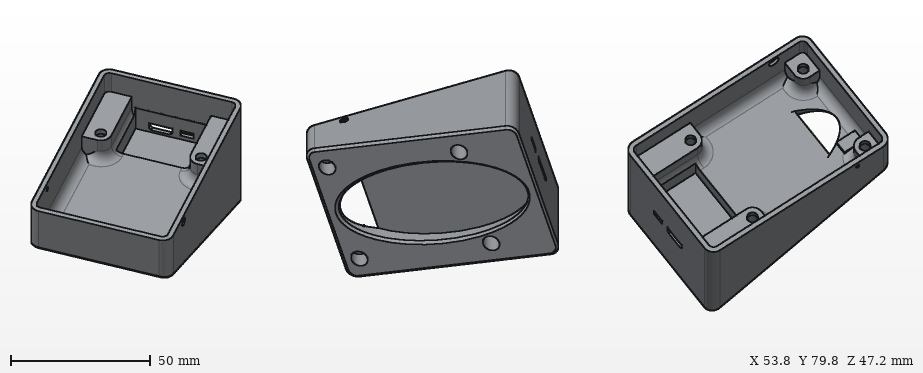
import cadquery as cq
import math


length = 79.75
width = 53.75
height = 47.2
slope_angle = 20.0
corner_radius = 4.0
wall = 2.0
bottom_chamfer = 1.0

floor_depth = 18.0
floor_fillet = 4.0
ledge_depth = 9.0

screw_x = 19.1
rear_screw_y = 16.0
front_screw_y = -33.5
boss_radius = 4.0
screw_diameter = 4.0
screw_head_diameter = 6.0
screw_seat_thickness = 2.2

recess_width = 31.75
recess_length = 75.0
recess_depth = 6.0
recess_chamfer = 1.0

pocket_half_width = 13.8
pocket_front_y = 17.6
pocket_depth = 24.5
pocket_wall = 1.5

window_top = 20.3
small_window_x = (3.3, 8.3)
small_window_height = 2.3
large_window_x = (-8.8, 0.15)
large_window_height = 3.1
large_window_bevel = 0.9

pad_x = (-13.55, -8.5)
pad_rear_y = -28.4
pad_height = 1.0

side_hole_y = -24.7
side_hole_depth = 2.95
pin_hole_diameter = 1.4
stepped_hole_diameter = 3.1
stepped_bore_diameter = 4.2
stepped_bore_depth = 1.3

inner_x = width / 2 - wall
inner_y = length / 2 - wall
tilt = math.radians(slope_angle)
slope = math.tan(tilt)
rear_height = height + bottom_chamfer * math.sin(tilt)
front_height = rear_height - length * slope
mid_height = (front_height + rear_height) / 2


def block(x_range, y_range, z_range):
    """Axis-aligned box between the given limits."""
    size = [high - low for low, high in (x_range, y_range, z_range)]
    corner = cq.Vector(x_range[0], y_range[0], z_range[0])
    return cq.Workplane(cq.Solid.makeBox(*size, corner))


def make_shell():
    """Solid wedge with rounded vertical corners and a chamfered bottom edge."""
    profile = [
        (-length / 2, 0),
        (length / 2, 0),
        (length / 2, -rear_height),
        (-length / 2, -front_height),
    ]
    wedge = cq.Workplane("YZ").polyline(profile).close().extrude(width / 2, both=True)
    wedge = wedge.edges("|Z").fillet(corner_radius)
    return wedge.faces("<Z").chamfer(bottom_chamfer)


def make_cavity():
    """Space inside the box: a full opening above the ledges, a narrower filleted one below."""
    upper = (
        cq.Workplane("XY")
        .rect(2 * inner_x, 2 * inner_y)
        .extrude(-ledge_depth)
        .edges("|Z")
        .fillet(corner_radius - wall)
    )
    lower = (
        cq.Workplane("XY")
        .rect(2 * inner_x, 2 * inner_y)
        .extrude(-floor_depth)
        .faces("<Z")
        .edges()
        .fillet(floor_fillet)
    )
    for side in (-1, 1):
        lower = lower.cut(make_rail_foot(side))
        for end, screw_y in ((1, rear_screw_y), (-1, front_screw_y)):
            lower = lower.cut(make_ledge(side, end, screw_y))
            lower = lower.cut(make_boss_foot(side, screw_y))
    pad = block(pad_x, (-length / 2, pad_rear_y), (-floor_depth, pad_height - floor_depth))
    return upper.union(lower.cut(pad))


def make_ledge(side, end, screw_y):
    """Corner block from a screw centre out to the walls, rounded about the screw."""
    x_limits = sorted((side * (screw_x - boss_radius), side * width / 2))
    y_limits = sorted((screw_y - end * boss_radius, end * length / 2))
    ledge = block(x_limits, y_limits, (-floor_depth, 0))
    inner_edge = ("<X" if side > 0 else ">X", "<Y" if end > 0 else ">Y")
    return ledge.faces(inner_edge[0]).edges("|Z").edges(inner_edge[1]).fillet(boss_radius)


def draw_foot(plane, side=1):
    """Half section of a boss flaring out to the floor, measured from the screw centre."""
    arc_dip = floor_fillet * (1 - math.sqrt(0.5))
    return (
        plane.lineTo(side * (boss_radius + floor_fillet), 0)
        .threePointArc((side * (boss_radius + arc_dip), arc_dip), (side * boss_radius, floor_fillet))
        .lineTo(0, floor_fillet)
        .close()
    )


def make_boss_foot(side, screw_y):
    """Flared foot all round a screw centre."""
    plane = cq.Workplane("XZ", origin=(side * screw_x, screw_y, -floor_depth))
    return draw_foot(plane).revolve(360, (0, 0), (0, 1))


def make_rail_foot(side):
    """Straight flared foot along the inner side of a rear rail."""
    plane = cq.Workplane("XZ", origin=(side * screw_x, rear_screw_y, -floor_depth))
    return draw_foot(plane, -side).extrude(rear_screw_y - length / 2)


def make_screw_holes():
    """Vertical screw holes with head bores running up from the sloped face."""
    centres = [(x, y) for x in (-screw_x, screw_x) for y in (front_screw_y, rear_screw_y)]
    points = cq.Workplane("XY").pushPoints(centres)
    shanks = points.circle(screw_diameter / 2).extrude(-rear_height)
    head_top = ledge_depth + screw_seat_thickness
    heads = (
        cq.Workplane("XY", origin=(0, 0, -head_top))
        .pushPoints(centres)
        .circle(screw_head_diameter / 2)
        .extrude(-rear_height)
    )
    return shanks.union(heads)


def make_recess():
    """Elliptical recess cut square to the sloped face, with a chamfered mouth."""
    face = cq.Plane(
        origin=(0, 0, -mid_height),
        xDir=(1, 0, 0),
        normal=(0, math.sin(tilt), math.cos(tilt)),
    )
    half_width = recess_width / 2
    half_length = recess_length / 2
    bore = cq.Workplane(face).ellipse(half_width, half_length).extrude(recess_depth)
    mouth = (
        cq.Workplane(face)
        .ellipse(half_width + recess_chamfer, half_length + recess_chamfer)
        .workplane(offset=recess_chamfer)
        .ellipse(half_width, half_length)
        .loft(ruled=True)
    )
    return bore.union(mouth)


def make_connector_pocket():
    """Deep pocket between the rear rails that also thins the back wall."""
    return block(
        (-pocket_half_width, pocket_half_width),
        (pocket_front_y, length / 2 - pocket_wall),
        (-pocket_depth, floor_fillet - floor_depth),
    )


def make_windows():
    """Rectangular window and bevelled window through the back wall."""
    y_limits = (inner_y, length / 2)
    small = block(small_window_x, y_limits, (-window_top - small_window_height, -window_top))
    large = block(large_window_x, y_limits, (-window_top - large_window_height, -window_top))
    large = large.faces("<Z").edges("|Y").chamfer(large_window_bevel)
    return small.union(large)


def make_side_holes():
    """Pin hole through the -X wall, stepped hole through the +X wall."""
    def bore(start_x, depth, diameter):
        origin = (start_x, side_hole_y, -side_hole_depth)
        return cq.Workplane("YZ", origin=origin).circle(diameter / 2).extrude(depth)

    pin = bore(-width / 2, wall, pin_hole_diameter)
    through = bore(inner_x, wall, stepped_hole_diameter)
    step = bore(inner_x, stepped_bore_depth, stepped_bore_diameter)
    return pin.union(through).union(step)


result = (
    make_shell()
    .cut(make_cavity())
    .cut(make_connector_pocket())
    .cut(make_windows())
    .cut(make_recess())
    .cut(make_screw_holes())
    .cut(make_side_holes())
)